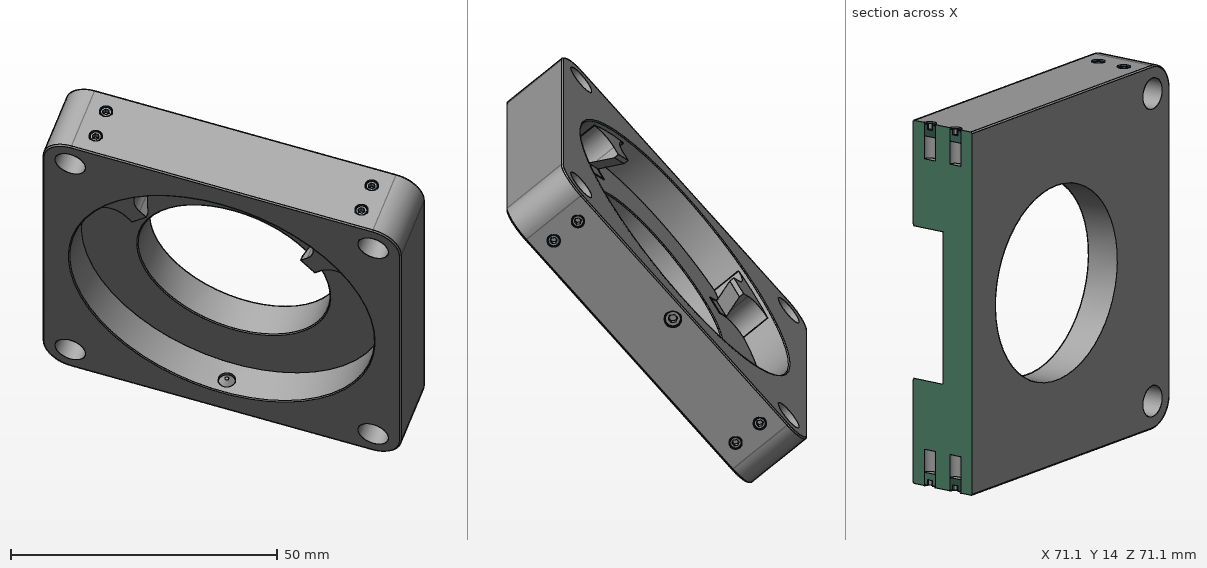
import cadquery as cq
import math

width = 71.1
depth = 13.95
corner_radius = 5.6
edge_chamfer = 0.3
half_width = width / 2
half_depth = depth / 2

pocket_diameter = 60.5
pocket_depth = 7.0
bore_diameter = 38.1
rim_chamfer = 0.2
front_y = -half_depth
floor_y = front_y + pocket_depth

jaw_angles = (45, 135)
jaw_height = 6.0
jaw_tip_radius = 23.7
jaw_tip_width = 4.0
jaw_straight = 1.85
jaw_flare_radius = 4.0
jaw_lip = 1.0
jaw_pad = 0.15
notch_root_radius = 26.3
jaw_front_y = floor_y - jaw_height

rod_diameter = 6.05
rod_offset = 30.1
rod_screw_diameter = 2.5
rod_screw_length = 2.5
rod_screw_recess = 0.2
rod_screw_hole_depth = 7.1
rod_screw_x = 26.4
rod_screw_y = 3.0
rod_screw_socket = 1.15

clamp_screw_diameter = 3.3
clamp_screw_y = -4.0
clamp_tip_diameter = 0.7
clamp_tip_length = 1.15
clamp_tip_reach = 0.5
clamp_screw_length = 4.3
clamp_screw_socket = 1.5

screw_chamfer = 0.2
socket_depth = 1.1

rod_screw_places = [
    (x, y, side)
    for x in (-rod_screw_x, rod_screw_x)
    for y in (-rod_screw_y, rod_screw_y)
    for side in (1, -1)
]


def axial_cylinder(diameter, start_y, end_y, x=0, z=0):
    """Cylinder along Y from start_y to end_y."""
    axis = cq.Vector(0, 1, 0)
    return cq.Solid.makeCylinder(diameter / 2, end_y - start_y, cq.Vector(x, start_y, z), axis)


def rim_cone(diameter, start_y):
    """Cone that chamfers the front rim of a bore on the Y axis."""
    radius = diameter / 2
    start = cq.Vector(0, start_y, 0)
    return cq.Solid.makeCone(radius + rim_chamfer, radius, rim_chamfer, start, cq.Vector(0, 1, 0))


def make_jaw():
    """Jaw pointing at the Y axis from +X: a straight tip, a flared root and an undercut behind the lip."""
    half_tip = jaw_tip_width / 2
    half_root = half_tip + jaw_flare_radius
    flare_start = jaw_tip_radius + jaw_straight
    flare_end = flare_start + jaw_flare_radius
    along = jaw_flare_radius * math.sin(math.radians(45))
    across = jaw_flare_radius - along
    wall_radius = pocket_diameter / 2
    blank = (
        cq.Workplane("XZ", origin=(0, floor_y, 0))
        .moveTo(jaw_tip_radius, -half_tip)
        .lineTo(flare_start, -half_tip)
        .threePointArc((flare_start + along, -half_tip - across), (flare_end, -half_root))
        .lineTo(wall_radius, -half_root)
        .lineTo(wall_radius, half_root)
        .lineTo(flare_end, half_root)
        .threePointArc((flare_start + along, half_tip + across), (flare_start, half_tip))
        .lineTo(jaw_tip_radius, half_tip)
        .close()
        .extrude(jaw_height)
    )
    undercut = (
        cq.Workplane("XY")
        .moveTo(jaw_tip_radius, jaw_front_y + jaw_lip)
        .lineTo(notch_root_radius, floor_y - jaw_pad)
        .lineTo(jaw_tip_radius, floor_y - jaw_pad)
        .close()
        .extrude(half_root, both=True)
    )
    return blank.cut(undercut)


def make_screw(diameter, length, socket):
    """Set screw along Z with its socket end on the XY plane and its body below."""
    body = cq.Workplane("XY").circle(diameter / 2).extrude(-length)
    body = body.faces(">Z").chamfer(screw_chamfer)
    corner_diameter = socket / math.cos(math.radians(30))
    hexagon = cq.Workplane("XY").polygon(6, corner_diameter).extrude(-socket_depth)
    return body.cut(hexagon)


def place_rod_feature(body, place, recess):
    """Move a body that hangs below the XY plane to the top or bottom side of the housing."""
    x, y, side = place
    body = body.translate((0, 0, half_width - recess))
    if side < 0:
        body = body.mirror("XY")
    return body.translate((x, y, 0))


def make_rod_screw(place):
    """Set screw that clamps a rod, slightly below the surface of the housing."""
    screw = make_screw(rod_screw_diameter, rod_screw_length, rod_screw_socket)
    return place_rod_feature(screw, place, rod_screw_recess)


def make_clamp_screw():
    """Set screw on the bottom side with a blunt conical point toward the Y axis."""
    shoulder_z = clamp_tip_reach - pocket_diameter / 2 - clamp_tip_length
    point = cq.Solid.makeCone(clamp_screw_diameter / 2, clamp_tip_diameter / 2, clamp_tip_length)
    shank = make_screw(clamp_screw_diameter, clamp_screw_length, clamp_screw_socket).mirror("XY")
    shank = shank.translate((0, 0, -clamp_screw_length))
    return shank.union(point).translate((0, clamp_screw_y, shoulder_z))


def make_housing():
    """Square block with the pocket, the bore, both jaws and the rod and screw holes."""
    body = cq.Workplane("XY").box(width, depth, width).edges("|Y").fillet(corner_radius)
    body = body.faces("<Y or >Y").edges().chamfer(edge_chamfer)
    body = body.cut(axial_cylinder(pocket_diameter, front_y, floor_y))
    body = body.cut(axial_cylinder(bore_diameter, floor_y, half_depth))
    body = body.cut(rim_cone(pocket_diameter, front_y))
    body = body.cut(rim_cone(bore_diameter, floor_y))
    for angle in jaw_angles:
        body = body.union(make_jaw().rotate((0, 0, 0), (0, 1, 0), -angle))
    for x in (-rod_offset, rod_offset):
        for z in (-rod_offset, rod_offset):
            body = body.cut(axial_cylinder(rod_diameter, front_y, half_depth, x, z))
    screw_hole = cq.Workplane("XY").circle(rod_screw_diameter / 2).extrude(-rod_screw_hole_depth)
    for place in rod_screw_places:
        body = body.cut(place_rod_feature(screw_hole, place, 0))
    clamp_hole = cq.Workplane("XY").circle(clamp_screw_diameter / 2).extrude(-half_width)
    return body.cut(clamp_hole.translate((0, clamp_screw_y, 0)))


housing = make_housing()
rod_screws = [make_rod_screw(place) for place in rod_screw_places]
clamp_screw = make_clamp_screw()
result = cq.Compound.makeCompound([housing.val(), *[screw.val() for screw in rod_screws], clamp_screw.val()])